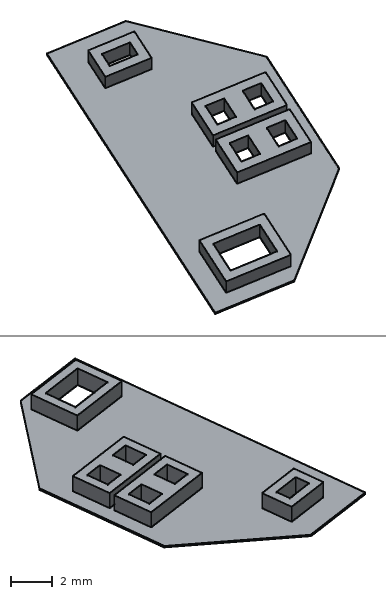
import cadquery as cq

plate_length = 17.53
plate_width = 9.25
plate_thickness = 0.1
corner_cut = 5.0

total_height = 1.0
frame_wall = 0.49

small_corner = (1.35, 1.53)
small_window = (0.8, 1.5)

large_corner = (13.92, 1.02)
large_window = (1.8, 2.5)

twin_front_y = 4.49
twin_window = (1.25, 1.0)
twin_window_gap = 1.0
twin_frame_gap = 0.28
twin_frame_length = twin_window[0] + 2 * frame_wall
twin_pitch = twin_frame_length + twin_frame_gap
twin_left_x = (plate_length - twin_pitch - twin_frame_length) / 2


def box_at(corner, size, height):
    """Upright box with its lower left corner at the given XY point, on Z = 0."""
    return cq.Workplane("XY").box(size[0], size[1], height, centered=False).translate((*corner, 0))


def add_frame(body, corner, window, window_count=1, window_gap=0):
    """Add a frame and cut its column of windows through the plate."""
    x, y = corner
    outer_size = (
        window[0] + 2 * frame_wall,
        window_count * window[1] + (window_count - 1) * window_gap + 2 * frame_wall,
    )
    body = body.union(box_at(corner, outer_size, total_height))
    for index in range(window_count):
        window_y = y + frame_wall + index * (window[1] + window_gap)
        body = body.cut(box_at((x + frame_wall, window_y), window, total_height))
    return body


result = (
    cq.Workplane("XY")
    .box(plate_length, plate_width, plate_thickness, centered=False)
    .edges("|Z and >Y")
    .chamfer(corner_cut)
)

result = add_frame(result, small_corner, small_window)
result = add_frame(result, large_corner, large_window)
for twin_index in range(2):
    corner = (twin_left_x + twin_index * twin_pitch, twin_front_y)
    result = add_frame(result, corner, twin_window, 2, twin_window_gap)